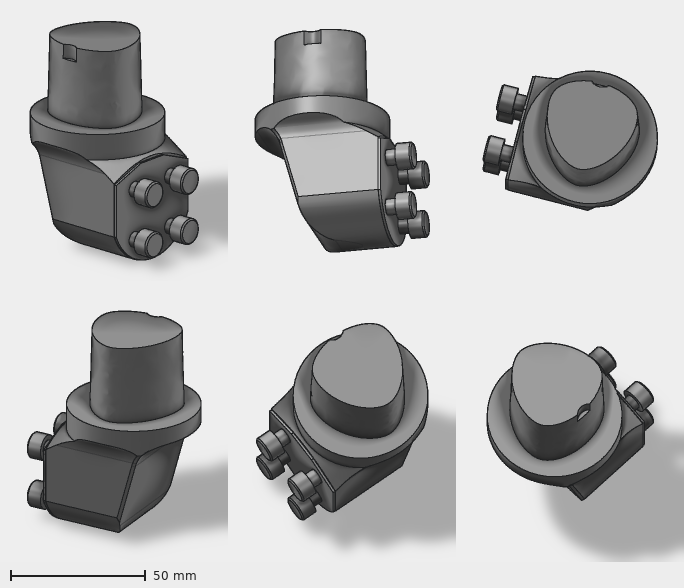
import cadquery as cq
import math

shank_height = 30.0
shank_base_radius = 17.5
shank_taper = 1 / 40
lobe_count = 3
lobe_offset = 1.2
section_points = 36

notch_radius = 4.4
notch_depth = 5.5
notch_inner_y = -14.0

flange_radius = 25.0
flange_bottom = -10.0
cone_half_angle = 50.0

body_half_width = 20.2
body_bottom = -51.3
body_end_x = 26.2
slant_angle = 15.5
side_arc_start = -37.7
back_flare_radius = 12.0
back_flare_center = (-23.1, -18.7)
side_flare_radius = 8.0
side_flare_center_z = -13.9
heel_radius = 12.0
shallow_slope = 5.0
bottom_slope_start_x = 15.3
corner_chamfer = 1.05
blank_reach = 30.0

plate_thickness = 0.94
plate_inset = 0.2
plate_top = -12.1
plate_top_half_width = 6.3
plate_shoulder = -17.2

screw_spacing_y = 19.8
screw_heights = (-21.25, -40.95)
screw_shank_radius = 3.0
screw_head_radius = 5.0
screw_shank_length = 4.18
screw_head_length = 6.0
screw_head_chamfer = 0.6

plate_end_x = body_end_x + plate_thickness


def lobed_section(mean_radius, height):
    """Closed three-lobed curve of constant width, one lobe pointing to +Y."""
    points = []
    for i in range(section_points):
        angle = 2 * math.pi * i / section_points
        support = mean_radius - lobe_offset * math.sin(lobe_count * angle)
        slope = -lobe_count * lobe_offset * math.cos(lobe_count * angle)
        x = support * math.cos(angle) - slope * math.sin(angle)
        y = support * math.sin(angle) + slope * math.cos(angle)
        points.append(cq.Vector(x, y, height))
    return cq.Wire.assembleEdges([cq.Edge.makeSpline(points, periodic=True)])


def make_shank():
    top_radius = shank_base_radius - shank_taper * shank_height
    sections = [
        lobed_section(shank_base_radius, 0),
        lobed_section(top_radius, shank_height),
    ]
    shank = cq.Workplane(cq.Solid.makeLoft(sections))
    notch = (
        cq.Workplane("XY", origin=(0, 0, shank_height - notch_depth))
        .center(0, notch_inner_y - notch_radius)
        .circle(notch_radius)
        .extrude(notch_depth)
    )
    return shank.cut(notch)


def make_back_profile():
    """Side-on body outline: flare, sloping back, rounded heel and bottom."""
    slant = math.radians(slant_angle)
    outer_x = -blank_reach
    flare_x, flare_z = back_flare_center
    tangent_x = flare_x + back_flare_radius * math.cos(slant)
    tangent_z = flare_z + back_flare_radius * math.sin(slant)
    shallow = math.radians(shallow_slope)
    flare_start = (
        flare_x + back_flare_radius * math.sin(shallow),
        flare_z + back_flare_radius * math.cos(shallow),
    )
    outer_z = flare_start[1] + (flare_start[0] - outer_x) * math.tan(shallow)
    mid_angle = (math.pi / 2 - shallow + slant) / 2
    flare_mid = (
        flare_x + back_flare_radius * math.cos(mid_angle),
        flare_z + back_flare_radius * math.sin(mid_angle),
    )

    rise = math.tan(shallow)
    run = math.tan(slant)
    heel_z = body_bottom + rise * (bottom_slope_start_x - tangent_x - run * tangent_z)
    heel_z /= 1 - rise * run
    heel_x = tangent_x + run * (tangent_z - heel_z)

    outline = (
        cq.Workplane("XZ", origin=(0, blank_reach, 0))
        .moveTo(outer_x, 0)
        .lineTo(outer_x, outer_z)
        .lineTo(*flare_start)
        .threePointArc(flare_mid, (tangent_x, tangent_z))
        .lineTo(heel_x, heel_z)
        .lineTo(bottom_slope_start_x, body_bottom)
        .lineTo(body_end_x, body_bottom)
        .lineTo(body_end_x, 0)
        .close()
        .extrude(2 * blank_reach)
    )
    heel_edge = cq.selectors.NearestToPointSelector((heel_x, 0, heel_z))
    return outline.edges(heel_edge).fillet(heel_radius)


def make_cross_profile():
    """End-on body outline: flared side walls above a round belly."""
    flare_y = body_half_width + side_flare_radius
    flare_top = side_flare_center_z + side_flare_radius
    diagonal = side_flare_radius * math.sqrt(0.5)
    flare_mid_y = flare_y - diagonal
    flare_mid_z = side_flare_center_z + diagonal
    return (
        cq.Workplane("YZ", origin=(-blank_reach, 0, 0))
        .moveTo(-blank_reach, 0)
        .lineTo(-blank_reach, flare_top)
        .lineTo(-flare_y, flare_top)
        .threePointArc((-flare_mid_y, flare_mid_z), (-body_half_width, side_flare_center_z))
        .lineTo(-body_half_width, side_arc_start)
        .threePointArc((0, body_bottom), (body_half_width, side_arc_start))
        .lineTo(body_half_width, side_flare_center_z)
        .threePointArc((flare_mid_y, flare_mid_z), (flare_y, flare_top))
        .lineTo(blank_reach, flare_top)
        .lineTo(blank_reach, 0)
        .close()
        .extrude(blank_reach + body_end_x)
    )


def make_trim():
    """Flange cylinder that opens into a cone below the flange."""
    cone_height = flange_bottom - body_bottom
    cone_radius = flange_radius + cone_height * math.tan(math.radians(cone_half_angle))
    return (
        cq.Workplane("XZ")
        .moveTo(0, 0)
        .lineTo(flange_radius, 0)
        .lineTo(flange_radius, flange_bottom)
        .lineTo(cone_radius, body_bottom)
        .lineTo(0, body_bottom)
        .close()
        .revolve(360, (0, 0, 0), (0, 1, 0))
    )


def make_body():
    """Flange and body in one piece, chamfered along the corners of the sloping back."""
    body = make_back_profile().intersect(make_cross_profile())
    slant = math.radians(slant_angle)
    back_corners = cq.selectors.ParallelDirSelector(cq.Vector(math.sin(slant), 0, -math.cos(slant)))
    body = body.edges(back_corners).chamfer(corner_chamfer)
    return body.intersect(make_trim())


def make_plate():
    half_width = body_half_width - plate_inset
    return (
        cq.Workplane("YZ", origin=(body_end_x, 0, 0))
        .moveTo(-plate_top_half_width, plate_top)
        .lineTo(-half_width, plate_shoulder)
        .lineTo(-half_width, side_arc_start)
        .threePointArc((0, body_bottom + plate_inset), (half_width, side_arc_start))
        .lineTo(half_width, plate_shoulder)
        .lineTo(plate_top_half_width, plate_top)
        .close()
        .extrude(plate_thickness)
    )


def make_screw(y, z):
    stem = (
        cq.Workplane("YZ", origin=(plate_end_x, y, z))
        .circle(screw_shank_radius)
        .extrude(screw_shank_length)
    )
    head = (
        cq.Workplane("YZ", origin=(plate_end_x + screw_shank_length, y, z))
        .circle(screw_head_radius)
        .extrude(screw_head_length)
        .faces(">X")
        .chamfer(screw_head_chamfer)
    )
    return stem.union(head)


result = make_body().union(make_shank()).union(make_plate())
for side in (-1, 1):
    for height in screw_heights:
        result = result.union(make_screw(side * screw_spacing_y / 2, height))